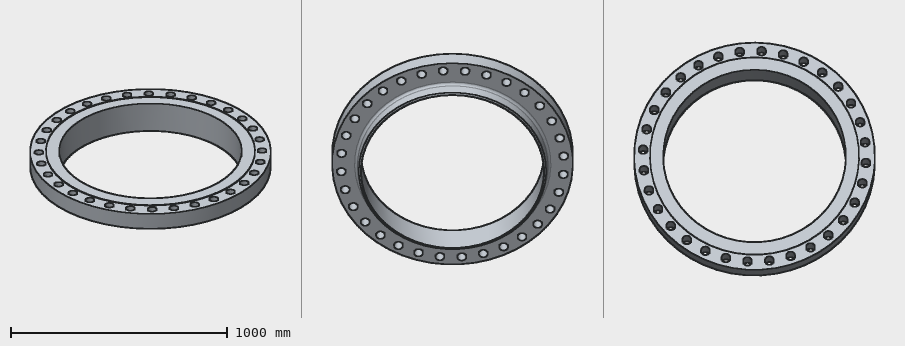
import cadquery as cq
import math

outer_radius = 556.0
bore_radius = 421.0
total_height = 149.0

face_radius = 482.0
face_height = 3.0
plate_thickness = 81.0
plate_bottom = total_height - face_height - plate_thickness

neck_top_radius = 441.0
neck_end_radius = 432.0
root_fillet = 13.0
bevel_height = 6.0
bevel_width = 9.0

bolt_count = 32
bolt_circle_radius = 515.0
bolt_diameter = 41.0


def disc(radius, bottom, height):
    """Solid disc centred on the Z axis."""
    return cq.Workplane("XY").workplane(offset=bottom).circle(radius).extrude(height)


def neck():
    """Tapered neck with a bevelled weld end and a concave root fillet."""
    taper = math.atan2(neck_top_radius - neck_end_radius, plate_bottom - bevel_height)
    tangent_length = root_fillet * math.tan((math.pi / 2 - taper) / 2)
    fillet_radius_end = neck_top_radius + tangent_length
    wall_radius_end = neck_top_radius - tangent_length * math.sin(taper)
    wall_height_end = plate_bottom - tangent_length * math.cos(taper)
    middle_angle = math.radians(135) - taper / 2
    fillet_middle = (
        fillet_radius_end + root_fillet * math.cos(middle_angle),
        plate_bottom - root_fillet + root_fillet * math.sin(middle_angle),
    )
    return (
        cq.Workplane("XZ")
        .moveTo(0, 0)
        .lineTo(neck_end_radius - bevel_width, 0)
        .lineTo(neck_end_radius, bevel_height)
        .lineTo(wall_radius_end, wall_height_end)
        .threePointArc(fillet_middle, (fillet_radius_end, plate_bottom))
        .lineTo(0, plate_bottom)
        .close()
        .revolve(360, (0, 0, 0), (0, 1, 0))
    )


def bolt_holes():
    """Through holes for the whole bolt circle."""
    return (
        cq.Workplane("XY")
        .polarArray(bolt_circle_radius, 0, 360, bolt_count)
        .circle(bolt_diameter / 2)
        .extrude(total_height)
    )


plate = disc(outer_radius, plate_bottom, plate_thickness)
raised_face = disc(face_radius, plate_bottom + plate_thickness, face_height)
bore = disc(bore_radius, 0, total_height)

result = plate.union(raised_face).union(neck()).cut(bore).cut(bolt_holes())